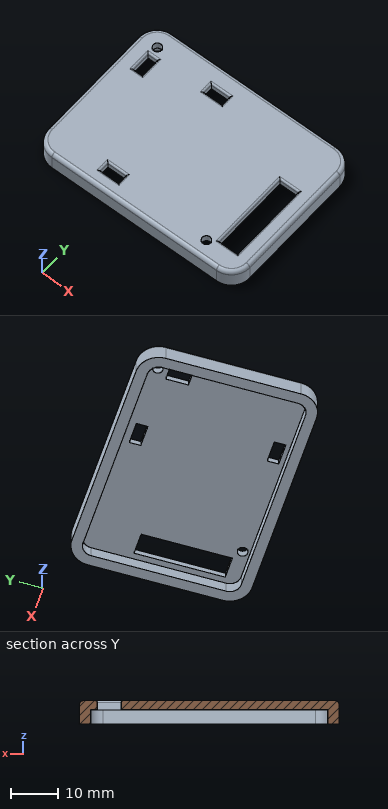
import cadquery as cq

length = 55.0
width = 40.0
height = 5.0
corner_radius = 5.0
top_fillet = 1.0

wall = 2.5
plate_thickness = 2.0
cavity_depth = height - plate_thickness

hole_diameter = 2.2
hole_centers = [(-22.55, 15.2), (16.4, -15.9)]
rim_fillet = 0.5
small_window_long = 5.0
small_window_short = 2.55
large_window_length = 20.2

windows = [
    (-21.85, 10.3, small_window_short, small_window_long),
    (-5.4, 14.0, small_window_long, small_window_short),
    (-9.7, -15.2, small_window_long, small_window_short),
    (21.1, -4.25, small_window_long, large_window_length),
]


def rounded_block(size_x, size_y, size_z, radius):
    """Block standing on Z = 0 with rounded vertical edges."""
    block = cq.Workplane("XY").box(size_x, size_y, size_z, centered=(True, True, False))
    return block.edges("|Z").fillet(radius)


def window_cutter(x, y, size_x, size_y):
    """Through opening that flares out in a convex rounded rim at the top face."""
    half_x = size_x / 2
    flare_x = half_x + rim_fillet
    half_y = size_y / 2
    flare_y = half_y + rim_fillet
    rim_bottom = height - rim_fillet
    bend = rim_fillet * (1 - 0.5 ** 0.5)

    def flared_prism(plane, half, flare, half_depth):
        profile = (
            cq.Workplane(plane)
            .moveTo(-half, 0)
            .lineTo(half, 0)
            .lineTo(half, rim_bottom)
            .threePointArc((half + bend, height - bend), (flare, height))
            .lineTo(-flare, height)
            .threePointArc((-half - bend, height - bend), (-half, rim_bottom))
            .close()
        )
        return profile.extrude(half_depth, both=True)

    across_x = flared_prism("XZ", half_x, flare_x, flare_y)
    across_y = flared_prism("YZ", half_y, flare_y, flare_x)
    return across_x.intersect(across_y).translate((x, y, 0))


body = rounded_block(length, width, height, corner_radius)
body = body.faces(">Z").edges().fillet(top_fillet)
body = body.cut(rounded_block(length - 2 * wall, width - 2 * wall, cavity_depth, corner_radius - wall))

holes = cq.Workplane("XY").pushPoints(hole_centers).circle(hole_diameter / 2).extrude(height)
body = body.cut(holes)

for window in windows:
    body = body.cut(window_cutter(*window))

result = body